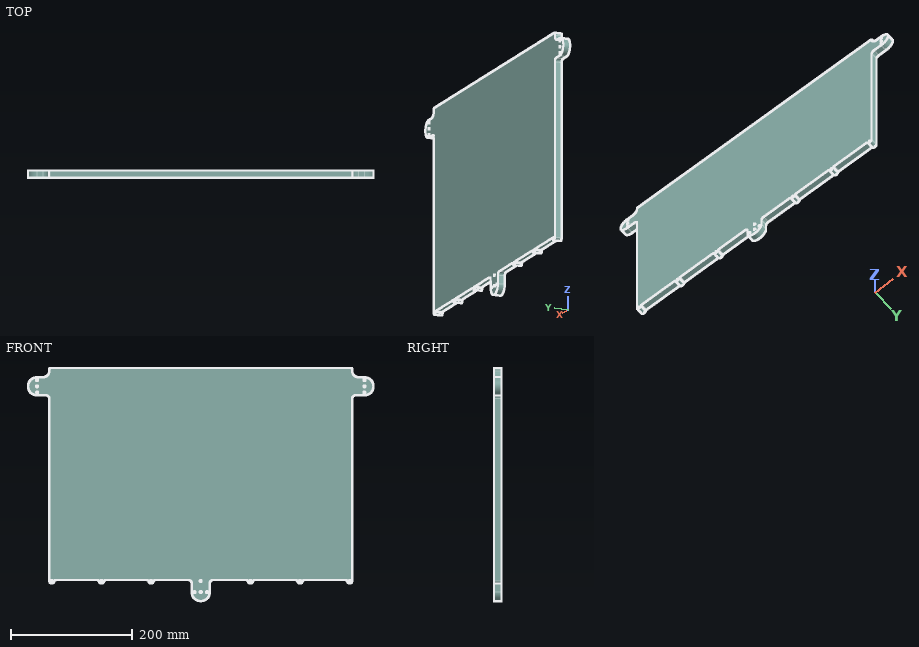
import cadquery as cq

overall_width = 570.0
overall_height = 385.0
thickness = 12.5
plate_width = 500.0
plate_height = 350.0
corner_radius = 1.5

tab_width = 30.0
tab_radius = tab_width / 2
side_tab_drop = 30.0
shoulder_radius = 10.0
root_radius = 5.0

lug_radius = 4.3
lugs_per_side = 3
lug_pitch = (plate_width / 2 - lug_radius) / lugs_per_side
lug_root_radius = 2.0

hole_diameter = 2.5
hole_pitch = 10.0
lug_hole_drop = 1.0

top_z = overall_height / 2
plate_bottom_z = top_z - plate_height
side_tab_z = top_z - side_tab_drop
side_tab_end_x = overall_width / 2 - tab_radius
bottom_tab_end_z = -overall_height / 2 + tab_radius
lug_z = plate_bottom_z - lug_hole_drop
lug_xs = [side * i * lug_pitch for side in (-1, 1) for i in range(1, lugs_per_side + 1)]


def block(width, height, x, z):
    """Full-thickness block centred at (x, z)."""
    return cq.Workplane("XY").box(width, thickness, height).translate((x, 0, z))


def pins(points, diameter):
    """Full-thickness cylinders along Y at the given (x, z) points."""
    plane = cq.Workplane("XZ", origin=(0, thickness / 2, 0))
    return plane.pushPoints(points).circle(diameter / 2).extrude(thickness)


def root_fillet(x, z, out_x, out_z, radius):
    """Concave corner fill at (x, z), spreading toward out_x and out_z (+1 or -1)."""
    fill = block(radius, radius, x + out_x * radius / 2, z + out_z * radius / 2)
    return fill.cut(pins([(x + out_x * radius, z + out_z * radius)], 2 * radius))


result = block(plate_width, plate_height, 0, top_z - plate_height / 2)
result = result.faces(">Z").edges("|Y").fillet(corner_radius)

result = result.union(block(2 * side_tab_end_x, tab_width, 0, side_tab_z))
result = result.union(pins([(-side_tab_end_x, side_tab_z), (side_tab_end_x, side_tab_z)], tab_width))
for side in (-1, 1):
    edge_x = side * plate_width / 2
    result = result.union(root_fillet(edge_x, side_tab_z + tab_radius, side, 1, shoulder_radius))
    result = result.union(root_fillet(edge_x, side_tab_z - tab_radius, side, -1, root_radius))

tab_straight = plate_bottom_z - bottom_tab_end_z
result = result.union(block(tab_width, tab_straight, 0, bottom_tab_end_z + tab_straight / 2))
result = result.union(pins([(0, bottom_tab_end_z)], tab_width))
for side in (-1, 1):
    result = result.union(root_fillet(side * tab_radius, plate_bottom_z, side, -1, root_radius))

for x in lug_xs:
    result = result.union(block(2 * lug_radius, lug_hole_drop, x, plate_bottom_z - lug_hole_drop / 2))
    result = result.union(pins([(x, lug_z)], 2 * lug_radius))
    for side in (-1, 1):
        root_x = x + side * lug_radius
        if abs(root_x) + lug_root_radius < plate_width / 2:
            result = result.union(root_fillet(root_x, plate_bottom_z, side, -1, lug_root_radius))

hole_points = [(x, lug_z) for x in lug_xs + [0]]
for i in (-1, 0, 1):
    offset = i * hole_pitch
    hole_points.append((offset, bottom_tab_end_z))
    hole_points.append((-side_tab_end_x, side_tab_z + offset))
    hole_points.append((side_tab_end_x, side_tab_z + offset))
result = result.cut(pins(hole_points, hole_diameter))